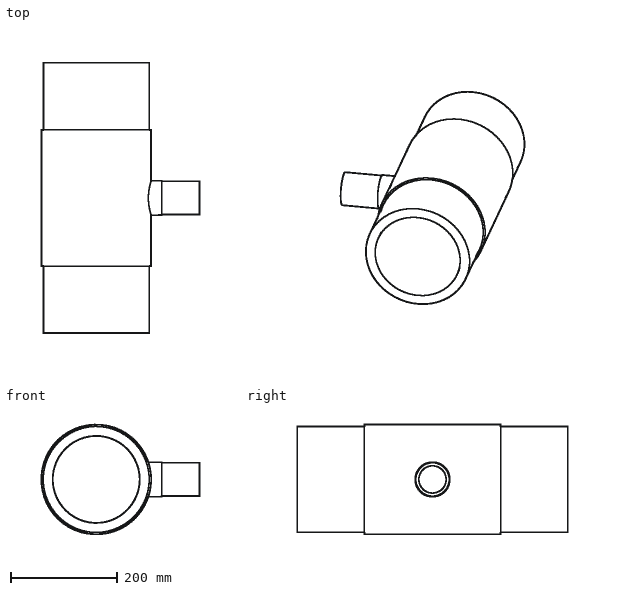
import cadquery as cq

pipe_length = 510.0
pipe_diameter = 200.0
pipe_bore = 163.6

sleeve_length = 257.0
sleeve_diameter = 207.28

branch_reach = 195.0
branch_diameter = 63.0
branch_bore = 51.4

collar_reach = 123.5
collar_diameter = 65.32


def cylinder_along_y(diameter, length):
    """Cylinder on the Y axis, centred on the origin."""
    return cq.Workplane("XZ").circle(diameter / 2).extrude(length / 2, both=True)


def cylinder_along_x(diameter, reach):
    """Cylinder on the X axis, from the origin out to X = reach."""
    return cq.Workplane("YZ").circle(diameter / 2).extrude(reach)


def make_outer_body():
    """Solid main pipe and sleeve, joined with the solid branch and collar."""
    pipe = cylinder_along_y(pipe_diameter, pipe_length)
    sleeve = cylinder_along_y(sleeve_diameter, sleeve_length)
    branch = cylinder_along_x(branch_diameter, branch_reach)
    collar = cylinder_along_x(collar_diameter, collar_reach)
    return pipe.union(sleeve).union(branch).union(collar)


def make_flow_passages():
    """Main bore through both ends, with the branch bore opening into it."""
    main_bore = cylinder_along_y(pipe_bore, pipe_length)
    side_bore = cylinder_along_x(branch_bore, branch_reach)
    return main_bore.union(side_bore)


result = make_outer_body().cut(make_flow_passages())